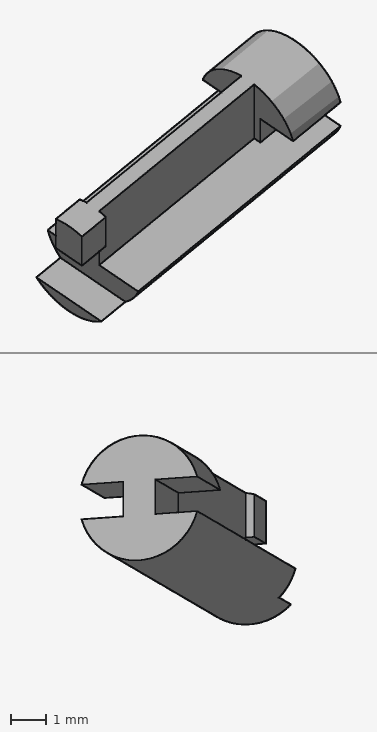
import cadquery as cq

length = 9.5
diameter = 3.6
slot_height = 1.0
head_length = 1.995
nose_length = 1.01
nose_width = 1.0
web_thickness = 0.48
neck_width = 0.96
tongue_drop = 1.3

radius = diameter / 2
slot_top = slot_height / 2
slot_bottom = -slot_top
head_start = length - head_length


def box_between(width, y_start, y_end, z_bottom, z_top):
    """Box centred on X = 0, spanning the given Y and Z ranges."""
    return cq.Workplane("XY").box(
        width, y_end - y_start, z_top - z_bottom, centered=(True, False, False)
    ).translate((0, y_start, z_bottom))


lower_plate = box_between(2 * radius, nose_length, length, -radius, slot_bottom)
tongue = box_between(2 * radius, 0, nose_length, -radius, -tongue_drop)
web = box_between(web_thickness, nose_length, head_start, slot_bottom, radius)
neck = box_between(neck_width, head_start, length, slot_bottom, slot_top)
head = box_between(2 * radius, head_start, length, slot_top, radius)
nose = box_between(nose_width, 0, nose_length, slot_top, radius)

kept_regions = lower_plate
for region in (tongue, web, neck, head, nose):
    kept_regions = kept_regions.union(region)

bar = cq.Workplane("XZ").circle(radius).extrude(-length)
result = bar.intersect(kept_regions)